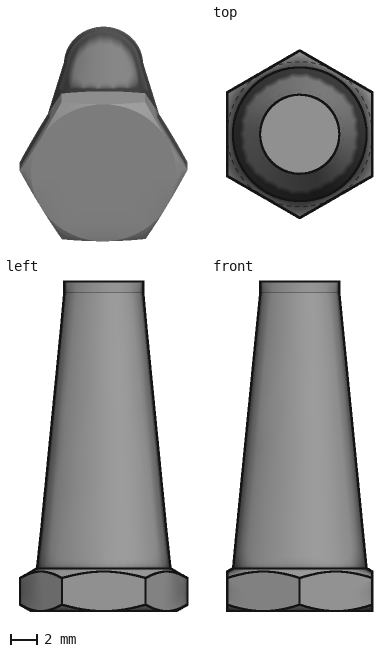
import cadquery as cq
import math

across_flats = 11.0
flat_radius = across_flats / 2
hex_sides = 6
corner_radius = flat_radius / math.cos(math.pi / hex_sides)
head_height = 3.0
chamfer_angle = 30.0
chamfer_slope = math.tan(math.radians(chamfer_angle))
corner_drop = (corner_radius - flat_radius) * chamfer_slope

total_height = 25.0
tip_radius = 3.0
tip_length = 0.85
shank_base_radius = 5.07
shank_base_z = head_height + (flat_radius - shank_base_radius) * chamfer_slope


def revolve_profile(points):
    """Revolve a closed (radius, z) outline about the Z axis."""
    return cq.Workplane("XZ").polyline(points).close().revolve(360, (0, 0), (0, 1))


def make_head():
    """Hexagonal prism with corners on the Y axis, trimmed by a cone at each end."""
    prism = (
        cq.Workplane("XY")
        .polygon(hex_sides, 2 * corner_radius)
        .extrude(shank_base_z)
        .rotate((0, 0, 0), (0, 0, 1), 90)
    )
    chamfer_envelope = revolve_profile([
        (0, 0),
        (flat_radius, 0),
        (corner_radius, corner_drop),
        (corner_radius, head_height - corner_drop),
        (shank_base_radius, shank_base_z),
        (0, shank_base_z),
    ])
    return prism.intersect(chamfer_envelope)


def make_shank():
    """Tapered round shank that ends in a short cylindrical tip and passes down through the head."""
    return revolve_profile([
        (0, 0),
        (shank_base_radius, 0),
        (shank_base_radius, shank_base_z),
        (tip_radius, total_height - tip_length),
        (tip_radius, total_height),
        (0, total_height),
    ])


result = make_head().union(make_shank())